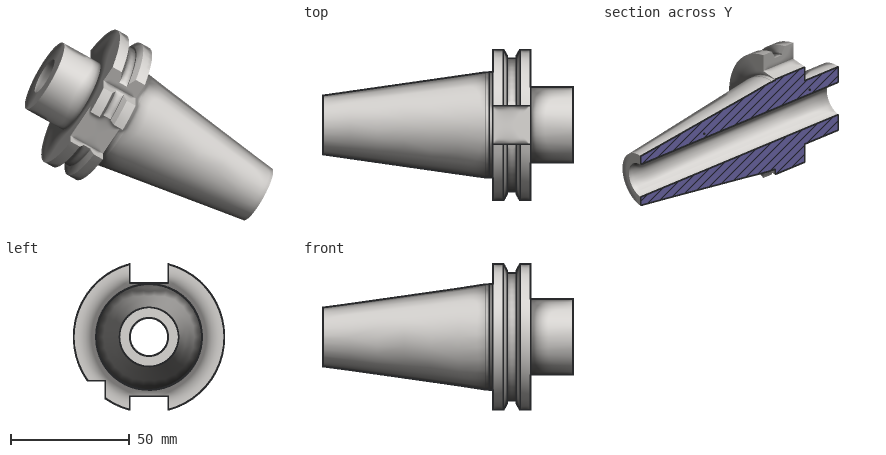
import cadquery as cq
import math

taper_length = 68.4
gauge_to_flange = 3.2
flange_width = 15.9
total_length = 105.3
gauge_band_width = gauge_to_flange / 2

gauge_diameter = 44.45
collar_diameter = 44.75
small_end_diameter = 24.9
flange_diameter = 63.55
nose_diameter = 32.0
bore_diameter = 16.0

groove_center_from_face = 7.9
groove_bottom_width = 3.75
groove_mouth_width = 7.0
groove_bottom_diameter = 56.25
groove_flank_angle = 30.0

slot_width = 16.1
upper_slot_floor = 22.8
lower_slot_floor = 25.0
notch_offset = 18.5

small_end_x = -taper_length
flange_start_x = gauge_to_flange
flange_end_x = flange_start_x + flange_width
nose_end_x = small_end_x + total_length
flange_radius = flange_diameter / 2


def make_shank():
    """Taper, gauge band, slightly larger collar and nose as one revolved profile."""
    gauge_radius = gauge_diameter / 2
    collar_radius = collar_diameter / 2
    nose_radius = nose_diameter / 2
    profile = (
        cq.Workplane("XY")
        .moveTo(small_end_x, 0)
        .lineTo(small_end_x, small_end_diameter / 2)
        .lineTo(0, gauge_radius)
        .lineTo(gauge_band_width, gauge_radius)
        .lineTo(gauge_band_width, collar_radius)
        .lineTo(flange_end_x, collar_radius)
        .lineTo(flange_end_x, nose_radius)
        .lineTo(nose_end_x, nose_radius)
        .lineTo(nose_end_x, 0)
        .close()
    )
    return profile.revolve(360, (0, 0, 0), (1, 0, 0))


def make_flange():
    """Flange disc with the trapezoidal gripper groove in its rim."""
    groove_x = flange_start_x + groove_center_from_face
    half_mouth = groove_mouth_width / 2
    half_bottom = groove_bottom_width / 2
    bottom_radius = groove_bottom_diameter / 2
    flank_depth = (half_mouth - half_bottom) / math.tan(math.radians(groove_flank_angle))
    flank_foot_radius = flange_radius - flank_depth
    profile = (
        cq.Workplane("XY")
        .moveTo(flange_start_x, 0)
        .lineTo(flange_start_x, flange_radius)
        .lineTo(groove_x - half_mouth, flange_radius)
        .lineTo(groove_x - half_bottom, flank_foot_radius)
        .lineTo(groove_x - half_bottom, bottom_radius)
        .lineTo(groove_x + half_bottom, bottom_radius)
        .lineTo(groove_x + half_bottom, flank_foot_radius)
        .lineTo(groove_x + half_mouth, flange_radius)
        .lineTo(flange_end_x, flange_radius)
        .lineTo(flange_end_x, 0)
        .close()
    )
    return profile.revolve(360, (0, 0, 0), (1, 0, 0))


def make_flange_cut(y_min, y_max, z_min, z_max):
    """Box that cuts through the full width of the flange."""
    block = cq.Workplane("XY").box(flange_width, y_max - y_min, z_max - z_min, centered=False)
    return block.translate((flange_start_x, y_min, z_min))


half_slot = slot_width / 2
upper_slot = make_flange_cut(-half_slot, half_slot, upper_slot_floor, flange_radius)
lower_slot = make_flange_cut(-half_slot, half_slot, -flange_radius, -lower_slot_floor)
notch = make_flange_cut(notch_offset, flange_radius, -flange_radius, -notch_offset)

bore = (
    cq.Workplane("YZ", origin=(small_end_x, 0, 0))
    .circle(bore_diameter / 2)
    .extrude(total_length)
)

result = make_shank().union(make_flange())
for cutter in (upper_slot, lower_slot, notch, bore):
    result = result.cut(cutter)